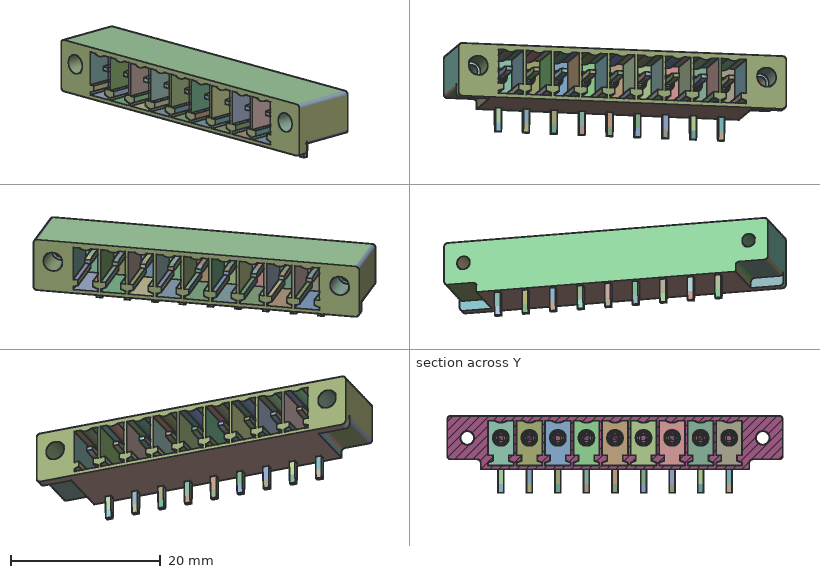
import cadquery as cq
import math


LENGTH = 44.9
DEPTH = 9.2
HEIGHT = 7.2
EDGE_RADIUS = 0.55

FLANGE_THICKNESS = 1.35
RELIEF_HEIGHT = 1.85
RELIEF_WIDTH = 4.5
RELIEF_RADIUS = 0.5

PIN_COUNT = 9
PITCH = 3.8
PIN_Z = 4.2

CAVITY_WIDTH = 3.4
CAVITY_DEPTH = 7.2
CEILING_THICKNESS = 0.67
CAVITY_TOP = HEIGHT - CEILING_THICKNESS
CAVITY_FLOOR = 0.55
RAIL_WIDTH = 0.67
RAIL_TOP = 1.95
RAIL_SIDE_BOTTOM = 1.15
RAIL_BOTTOM = 0.9
BUMP_WIDTH = 1.6
BUMP_DROP = 0.25

BOSS_BASE_RADIUS = 1.08
BOSS_SHOULDER_RADIUS = 0.9
BOSS_TIP_RADIUS = 0.67
BOSS_CONE_LENGTH = 0.67
BOSS_CHAMFER = BOSS_SHOULDER_RADIUS - BOSS_TIP_RADIUS

HOLE_OFFSET_X = 19.75
HOLE_RADIUS = 0.9
COUNTERBORE_RADIUS = 1.3
COUNTERBORE_DEPTH = 4.5

PIN_SIZE = 0.8
PIN_TIP_Y = 1.2
LEG_INSET = 1.2
LEG_Y = DEPTH - LEG_INSET
LEG_LENGTH = 3.15
TAPER_LENGTH = 1.15
TIP_THICKNESS = 0.55

PIN_POSITIONS = [(i - (PIN_COUNT - 1) / 2) * PITCH for i in range(PIN_COUNT)]


def make_housing_block():
    block = cq.Workplane("XY").box(LENGTH, DEPTH, HEIGHT, centered=(True, False, False))
    return block.edges("|Y").fillet(EDGE_RADIUS)


def make_end_relief(side):
    """Cutter for the rounded step under one end; side is -1 or +1."""
    outer_x = side * LENGTH / 2
    inner_x = outer_x - side * RELIEF_WIDTH
    ledge_z = RELIEF_HEIGHT - RELIEF_RADIUS
    hollow_z = ledge_z - RELIEF_RADIUS
    bulge_end_x = outer_x - side * RELIEF_RADIUS
    hollow_start_x = inner_x + side * RELIEF_RADIUS
    diagonal = RELIEF_RADIUS * math.sqrt(0.5)
    bulge_point = (bulge_end_x + side * diagonal, RELIEF_HEIGHT - diagonal)
    hollow_point = (hollow_start_x - side * diagonal, hollow_z + diagonal)
    return (
        cq.Workplane("XZ", origin=(0, DEPTH, 0))
        .moveTo(outer_x, RELIEF_HEIGHT)
        .threePointArc(bulge_point, (bulge_end_x, ledge_z))
        .lineTo(hollow_start_x, ledge_z)
        .threePointArc(hollow_point, (inner_x, hollow_z))
        .lineTo(inner_x, 0)
        .lineTo(outer_x, 0)
        .close()
        .extrude(DEPTH - FLANGE_THICKNESS)
    )


def make_screw_hole(x):
    center = (x, 0, PIN_Z)
    bore = cq.Workplane("XZ", origin=center).circle(HOLE_RADIUS).extrude(-DEPTH)
    counterbore = cq.Workplane("XZ", origin=center).circle(COUNTERBORE_RADIUS).extrude(-COUNTERBORE_DEPTH)
    return bore.union(counterbore)


def make_cavity(x):
    half = CAVITY_WIDTH / 2
    slot = half - RAIL_WIDTH
    bump = BUMP_WIDTH / 2
    return (
        cq.Workplane("XZ", origin=(x, 0, 0))
        .moveTo(-half, CAVITY_TOP)
        .lineTo(-bump, CAVITY_TOP)
        .threePointArc((0, CAVITY_TOP - BUMP_DROP), (bump, CAVITY_TOP))
        .lineTo(half, CAVITY_TOP)
        .lineTo(half, RAIL_TOP)
        .lineTo(slot, RAIL_TOP)
        .lineTo(slot, RAIL_SIDE_BOTTOM)
        .lineTo(half, RAIL_BOTTOM)
        .lineTo(half, CAVITY_FLOOR)
        .lineTo(-half, CAVITY_FLOOR)
        .lineTo(-half, RAIL_BOTTOM)
        .lineTo(-slot, RAIL_SIDE_BOTTOM)
        .lineTo(-slot, RAIL_TOP)
        .lineTo(-half, RAIL_TOP)
        .close()
        .extrude(-CAVITY_DEPTH)
    )


def make_boss(x):
    """Tapered boss with a chamfered end, standing on the cavity's rear wall."""
    shoulder_y = CAVITY_DEPTH - BOSS_CONE_LENGTH
    return (
        cq.Workplane("XY", origin=(x, 0, PIN_Z))
        .moveTo(0, CAVITY_DEPTH)
        .lineTo(BOSS_BASE_RADIUS, CAVITY_DEPTH)
        .lineTo(BOSS_SHOULDER_RADIUS, shoulder_y)
        .lineTo(BOSS_TIP_RADIUS, shoulder_y - BOSS_CHAMFER)
        .lineTo(0, shoulder_y - BOSS_CHAMFER)
        .close()
        .revolve(360, (0, 0, 0), (0, 1, 0))
    )


def make_pin(x):
    """L-shaped pin: a contact along Y and a leg along -Z, both with a two-sided taper."""
    half = PIN_SIZE / 2
    tip = TIP_THICKNESS / 2
    contact_taper_y = PIN_TIP_Y + TAPER_LENGTH
    leg_taper_z = TAPER_LENGTH - LEG_LENGTH
    outline = [
        (PIN_TIP_Y, PIN_Z + tip),
        (contact_taper_y, PIN_Z + half),
        (LEG_Y + half, PIN_Z + half),
        (LEG_Y + half, leg_taper_z),
        (LEG_Y + tip, -LEG_LENGTH),
        (LEG_Y - tip, -LEG_LENGTH),
        (LEG_Y - half, leg_taper_z),
        (LEG_Y - half, PIN_Z - half),
        (contact_taper_y, PIN_Z - half),
        (PIN_TIP_Y, PIN_Z - tip),
    ]
    return cq.Workplane("YZ", origin=(x, 0, 0)).polyline(outline).close().extrude(half, both=True)


def make_housing(pins):
    housing = make_housing_block()
    for side in (-1, 1):
        housing = housing.cut(make_end_relief(side))
        housing = housing.cut(make_screw_hole(side * HOLE_OFFSET_X))
    for x in PIN_POSITIONS:
        housing = housing.cut(make_cavity(x))
        housing = housing.union(make_boss(x))
    for pin in pins:
        housing = housing.cut(pin)
    return housing.solids()


pins = [make_pin(x) for x in PIN_POSITIONS]
housing = make_housing(pins)

result = cq.Compound.makeCompound([housing.val(), *[pin.val() for pin in pins]])